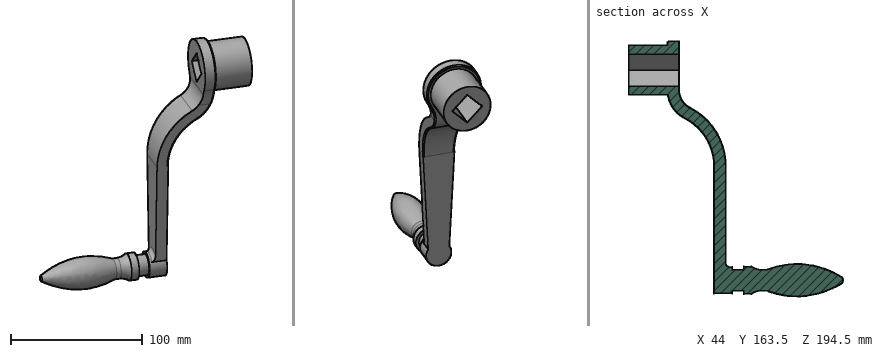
import cadquery as cq
import math


CRANK_LENGTH = 160.0
OVERALL_DEPTH = 163.5
ARM_THICKNESS = 9.0
ARM_OFFSET = 35.5

HUB_RADIUS = 19.0
HUB_LENGTH = 29.5
PLATE_RADIUS = 22.0
SQUARE_SIZE = 17.0
SQUARE_TURN = 45
EDGE_CHAMFER = 1.0

ARM_HALF_WIDTH_TOP = 16.4
ARM_HALF_WIDTH_END = 8.3
SHOULDER_RADIUS = 30.0

BEND_START = 15.3
UPPER_BEND_RADIUS = 15.0
LOWER_BEND_RADIUS = 50.0

SEAT_RADIUS = 10.2
SEAT_HEIGHT = 5.0
SEAT_FILLET = 3.0
SPINDLE_RADIUS = 8.2
SPINDLE_LENGTH = 8.5
COLLAR_RADIUS = 10.6
COLLAR_LENGTH = 6.0
WAIST_RADIUS = 8.1
FLARE_LENGTH = 7.8
WAIST_LENGTH = 3.6
BELLY_RADIUS = 12.5
BELLY_RISE = 21.0
TIP_RADIUS = 2.4
TIP_HEIGHT = 1.0

PLATE_BACK = -HUB_LENGTH
PLATE_FRONT = PLATE_BACK - ARM_THICKNESS
ARM_FRONT = PLATE_FRONT - ARM_OFFSET
ARM_BACK = ARM_FRONT + ARM_THICKNESS
BEND_ANGLE = math.acos(1 - ARM_OFFSET / (UPPER_BEND_RADIUS + LOWER_BEND_RADIUS))
UPPER_CENTER = (PLATE_FRONT - UPPER_BEND_RADIUS, -BEND_START)
LOWER_CENTER = (
    ARM_FRONT + LOWER_BEND_RADIUS,
    -BEND_START - (UPPER_BEND_RADIUS + LOWER_BEND_RADIUS) * math.sin(BEND_ANGLE),
)
BEND_END = -LOWER_CENTER[1]


def disc(radius, z, back, front):
    """Cylinder along Y, from its back to its front face."""
    sketch = cq.Workplane("XZ").center(0, z).circle(radius)
    return sketch.extrude(back - front).translate((0, back, 0))


def polar(center, radius, angle):
    """Point on a circle, the angle counted from the first axis."""
    return (center[0] + radius * math.cos(angle), center[1] + radius * math.sin(angle))


def arm_side_profile():
    """Hub plate, S-bend and straight lower arm as a constant-thickness band in YZ."""
    upper_front = UPPER_BEND_RADIUS
    upper_back = UPPER_BEND_RADIUS + ARM_THICKNESS
    lower_front = LOWER_BEND_RADIUS
    lower_back = LOWER_BEND_RADIUS - ARM_THICKNESS
    upper_end = -BEND_ANGLE
    lower_start = math.pi - BEND_ANGLE
    return (
        cq.Workplane("YZ")
        .moveTo(PLATE_FRONT, PLATE_RADIUS)
        .lineTo(PLATE_FRONT, -BEND_START)
        .threePointArc(
            polar(UPPER_CENTER, upper_front, upper_end / 2),
            polar(UPPER_CENTER, upper_front, upper_end),
        )
        .threePointArc(
            polar(LOWER_CENTER, lower_front, math.pi - BEND_ANGLE / 2),
            (ARM_FRONT, -BEND_END),
        )
        .lineTo(ARM_FRONT, -CRANK_LENGTH)
        .lineTo(ARM_BACK, -CRANK_LENGTH)
        .lineTo(ARM_BACK, -BEND_END)
        .threePointArc(
            polar(LOWER_CENTER, lower_back, math.pi - BEND_ANGLE / 2),
            polar(LOWER_CENTER, lower_back, lower_start),
        )
        .threePointArc(
            polar(UPPER_CENTER, upper_back, upper_end / 2),
            (PLATE_BACK, -BEND_START),
        )
        .lineTo(PLATE_BACK, PLATE_RADIUS)
        .close()
    )


def arm_outline():
    """Round plate blended into the tapering arm, in XZ."""
    taper = math.atan((ARM_HALF_WIDTH_TOP - ARM_HALF_WIDTH_END) / CRANK_LENGTH)
    center_distance = PLATE_RADIUS + SHOULDER_RADIUS
    line_distance = ARM_HALF_WIDTH_TOP * math.cos(taper) + SHOULDER_RADIUS
    center_angle = -taper - math.acos(line_distance / center_distance)
    center = polar((0, 0), center_distance, center_angle)
    arc_start = polar((0, 0), PLATE_RADIUS, center_angle)
    line_angle = math.pi - taper
    arc_end = polar(center, SHOULDER_RADIUS, line_angle)
    shoulder_middle = polar(center, SHOULDER_RADIUS, (math.pi + center_angle + line_angle) / 2)

    def mirrored(point):
        return (-point[0], point[1])

    return (
        cq.Workplane("XZ")
        .moveTo(*arc_start)
        .threePointArc(shoulder_middle, arc_end)
        .lineTo(ARM_HALF_WIDTH_END, -CRANK_LENGTH)
        .lineTo(-ARM_HALF_WIDTH_END, -CRANK_LENGTH)
        .lineTo(*mirrored(arc_end))
        .threePointArc(mirrored(shoulder_middle), mirrored(arc_start))
        .threePointArc((0, PLATE_RADIUS), arc_start)
        .close()
    )


def make_arm():
    """Arm with its outer back edges chamfered from the plate down to the end of the bend."""
    band = arm_side_profile().extrude(PLATE_RADIUS, both=True)
    arm = band.intersect(arm_outline().extrude(OVERALL_DEPTH))
    back_edges = arm.faces(">Y").edges("not |X")
    chamfered = back_edges.chamfer(EDGE_CHAMFER)
    below_bend = cq.Workplane("XY", origin=(0, 0, -BEND_END)).rect(
        2 * PLATE_RADIUS, 2 * OVERALL_DEPTH
    )
    straight_part = arm.intersect(below_bend.extrude(-CRANK_LENGTH))
    return chamfered.union(straight_part)


def make_hub():
    """Plain cylinder behind the plate, reaching into it."""
    return disc(HUB_RADIUS, 0, 0, PLATE_BACK - ARM_THICKNESS / 2)


def cut_square_hole(body):
    """Square through hole standing on its corner."""
    square = cq.Workplane("XZ").rect(SQUARE_SIZE, SQUARE_SIZE).extrude(-PLATE_FRONT)
    return body.cut(square.rotate((0, 0, 0), (0, 1, 0), SQUARE_TURN))


def make_seat():
    """Round lower end of the arm that carries the grip."""
    return disc(SEAT_RADIUS, -CRANK_LENGTH, ARM_BACK, ARM_FRONT - SEAT_HEIGHT)


def arc_middle(tangent_point, end):
    """Middle of the arc that runs along the grip axis at tangent_point and passes through end."""
    rise = end[0] - tangent_point[0]
    run = end[1] - tangent_point[1]
    half_angle = math.atan(rise / run)
    chord = math.hypot(rise, run)
    along = math.copysign(chord / (2 * math.cos(half_angle / 2)), run)
    return (
        tangent_point[0] + along * math.sin(half_angle / 2),
        tangent_point[1] + along * math.cos(half_angle / 2),
    )


def make_grip():
    """Turned grip, revolved about its own axis from a half profile."""
    spindle_start = SEAT_HEIGHT - ARM_FRONT
    collar_start = spindle_start + SPINDLE_LENGTH
    collar_end = collar_start + COLLAR_LENGTH
    flare_end = collar_end + FLARE_LENGTH
    waist_end = flare_end + WAIST_LENGTH
    belly = waist_end + BELLY_RISE
    tip_start = OVERALL_DEPTH - TIP_HEIGHT

    waist_edge = (WAIST_RADIUS, -flare_end)
    belly_crown = (BELLY_RADIUS, -belly)
    tip_edge = (TIP_RADIUS, -tip_start)
    flare_middle = arc_middle(waist_edge, (COLLAR_RADIUS, -collar_end))
    tip_dome_radius = (TIP_RADIUS**2 + TIP_HEIGHT**2) / (2 * TIP_HEIGHT)

    return (
        cq.Workplane("XY")
        .moveTo(0, ARM_FRONT)
        .lineTo(SPINDLE_RADIUS, ARM_FRONT)
        .lineTo(SPINDLE_RADIUS, -collar_start)
        .lineTo(COLLAR_RADIUS, -collar_start)
        .lineTo(COLLAR_RADIUS, -collar_end)
        .threePointArc(flare_middle, waist_edge)
        .lineTo(WAIST_RADIUS, -waist_end)
        .spline([belly_crown, tip_edge], includeCurrent=True)
        .radiusArc((0, -OVERALL_DEPTH), tip_dome_radius)
        .close()
        .revolve(360, (0, 0, 0), (0, 1, 0))
        .translate((0, 0, -CRANK_LENGTH))
    )


def fillet_seat(body):
    """Round the inner corner between the arm's front face and the seat."""
    corner = cq.selectors.BoxSelector(
        (-SEAT_RADIUS, ARM_FRONT - SEAT_HEIGHT / 2, -CRANK_LENGTH),
        (SEAT_RADIUS, ARM_FRONT + ARM_THICKNESS / 2, -CRANK_LENGTH + 2 * SEAT_RADIUS),
    )
    return body.edges(corner).edges("%CIRCLE").fillet(SEAT_FILLET)


body = fillet_seat(make_arm().union(make_seat())).union(make_hub())
result = cut_square_hole(body).union(make_grip())